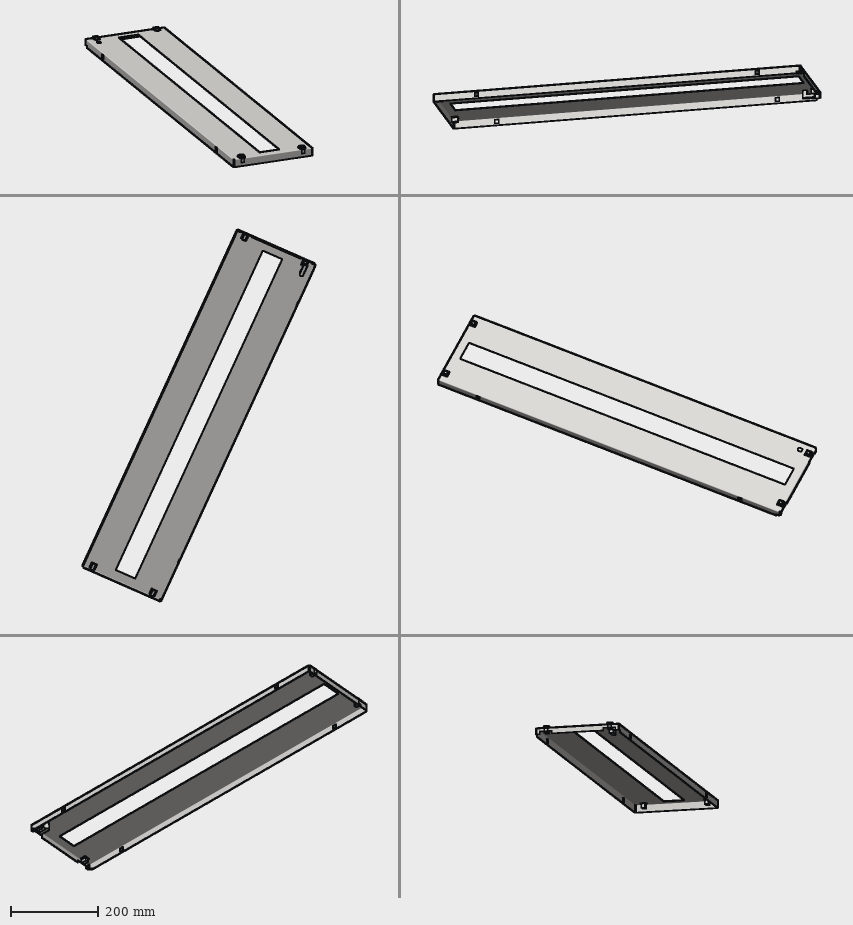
import cadquery as cq

length = 865.0
width = 198.0
panel_height = 19.0
sheet = 1.5
bend_radius = 2.0
corner_gap = 3.0

window_length = 820.0
window_width = 48.5

left_flange_bottom = 4.0
corner_notch_length = 9.5
notch_top = 10.0
notch_width = 28.5

side_hole_size = 9.0
side_hole_offset = 330.0
side_hole_height = 9.5

fastener_x = 423.0
fastener_y = 75.0
head_size = 14.0
head_top = 23.0
head_taper = 18
socket_size = 8.0
socket_depth = 1.0
bar_width = 8.0
bar_bottom = 8.0

latch_width = 9.0
latch_end_x = -395.0
latch_riser_length = 10.0
latch_shift = 3.0
latch_corner_radius = 3.5

fastener_points = [(x, y) for x in (-fastener_x, fastener_x) for y in (-fastener_y, fastener_y)]
sheet_underside = panel_height - sheet


def block(x_size, y_size, z_low, z_high, x=0.0, y=0.0):
    """A box centred on (x, y) that spans z_low to z_high."""
    return cq.Workplane("XY", origin=(x, y, z_low)).box(
        x_size, y_size, z_high - z_low, centered=(True, True, False)
    )


def make_tray():
    outer = block(length, width, 0, panel_height).faces(">Z").edges().fillet(bend_radius)
    inner = block(length - 2 * sheet, width - 2 * sheet, 0, sheet_underside)
    inner = inner.faces(">Z").edges().fillet(bend_radius - sheet)
    return outer.cut(inner)


def make_panel():
    panel = make_tray()

    for x in (-length / 2, length / 2):
        for y in (-width / 2, width / 2):
            panel = panel.cut(block(2 * corner_gap, 2 * corner_gap, 0, panel_height, x, y))

    panel = panel.cut(block(window_length, window_width, 0, panel_height))

    panel = panel.cut(block(2 * corner_notch_length, width, 0, left_flange_bottom, -length / 2))
    for y in (-fastener_y, fastener_y):
        panel = panel.cut(block(2 * bend_radius, notch_width, 0, notch_top, -length / 2, y))

    side_hole_low = side_hole_height - side_hole_size / 2
    side_hole_high = side_hole_height + side_hole_size / 2
    for x in (-side_hole_offset, side_hole_offset):
        panel = panel.cut(block(side_hole_size, width, side_hole_low, side_hole_high, x))

    for x, y in fastener_points:
        panel = panel.cut(block(head_size, bar_width, sheet_underside, panel_height, x, y))
    return panel


def make_fastener(x, y):
    head = cq.Workplane("XY", origin=(x, y, panel_height)).rect(head_size, head_size)
    head = head.extrude(head_top - panel_height, taper=head_taper)
    bar = block(head_size, bar_width, bar_bottom, panel_height, x, y)
    socket = block(socket_size, socket_size, head_top - socket_depth, head_top, x, y)
    return head.union(bar).cut(socket)


def make_latch():
    y = -fastener_y - latch_shift
    arm_length = latch_end_x + fastener_x
    arm_x = latch_end_x - arm_length / 2
    riser_x = latch_end_x - latch_riser_length / 2
    arm = block(arm_length, latch_width, 0, bar_bottom, arm_x, y)
    riser = block(latch_riser_length, latch_width, 0, sheet_underside, riser_x, y)
    return arm.union(riser).edges("|Z and >X").fillet(latch_corner_radius)


panel = make_panel()
fasteners = [make_fastener(x, y).val() for x, y in fastener_points]
latch = make_latch()
result = cq.Compound.makeCompound([panel.val(), *fasteners, latch.val()])